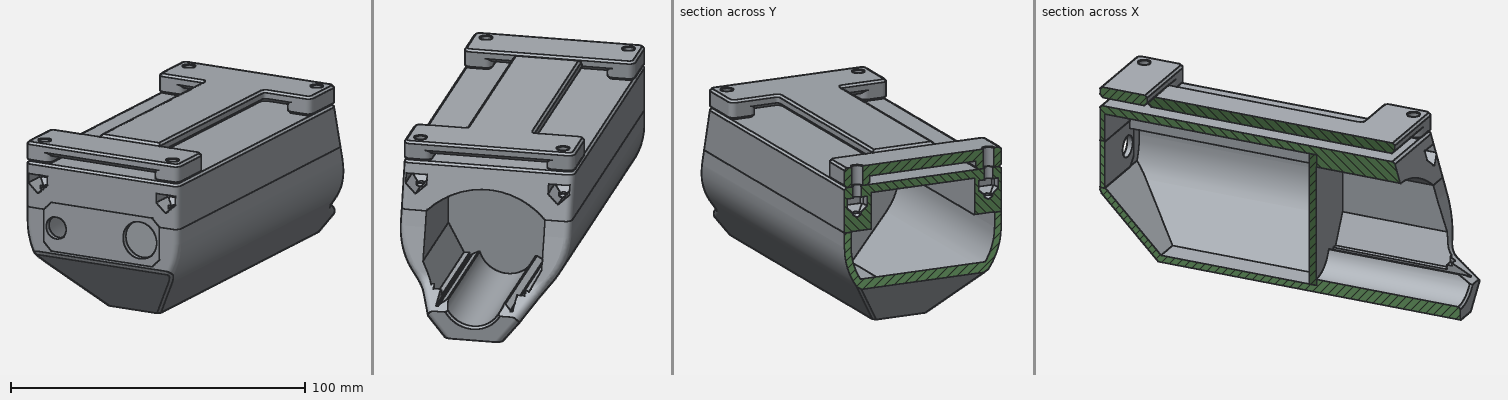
import cadquery as cq
import math

LENGTH = 136.0
WIDTH = 59.5
HEIGHT = 61.1
HALF_WIDTH = WIDTH / 2

CASE_HEIGHT = 54.1
PARTING_Z = 38.1
SIDE_BOTTOM_Z = 32.8
BELLY_RADIUS = 24.6
KEEL_ANGLE = 39.0
EDGE_RADIUS = 2.2
SMALL_CHAMFER = 0.8

FRONT_BEVEL = 22.0
REAR_TOP_Y = 111.1
REAR_KINK_Y = 117.4
REAR_FOOT_Y = 123.1
REAR_FOOT_Z = 15.6
NOSE_TIP_Z = 9.5
REAR_BLEND_RADIUS = 6.1

WALL = 2.7
FRONT_WALL = 2.0
ROOF_Z = 51.0
UPPER_CAVITY_HALF_WIDTH = 19.5
BED_START_Y = 81.6
PARTITION_THICKNESS = 2.7

PANEL_HALF_WIDTH = 22.5
PANEL_BOTTOM_Z = 23.7
PANEL_TOP_Z = 41.0
PANEL_CORNER = 2.9
SOCKET_X = 14.8
SOCKET_Z = 32.4
SOCKET_DIAMETER = 13.0
CABLE_HOLE_X = -17.7
CABLE_HOLE_Z = 32.1
CABLE_HOLE_DIAMETER = 7.8

OPENING_HALF_WIDTH = 20.7
OPENING_FLOOR_HALF_WIDTH = 15.2
BED_Z = 11.4
OPENING_SHOULDER_Z = 21.8
OPENING_TOP_Z = 46.5
OPENING_END_Y = 124.5
LEDGE_HALF_WIDTH = 15.9
LEDGE_END_Y = 126.4
LEDGE_Z = 13.0
CHANNEL_HALF_WIDTH = 13.3
CHANNEL_FLOOR_Z = 10.6
GROOVE_RADIUS = 10.2
GROOVE_Z = 15.1
RIB_HALF_WIDTH = 12.5
RIB_INNER_Z = 12.1
RIB_OUTER_Z = 10.9

PLATE_THICKNESS = 4.1
PLATE_UNDERCUT = 1.2
BAR_DEPTH = 18.0
HEAD_FRONT_Y = 93.2
HEAD_REAR_Y = 111.3
TONGUE_HALF_WIDTH = 11.7
TONGUE_TIP_Y = 18.1
TONGUE_BEVEL = 2.6
TONGUE_CORNER_RADIUS = 1.1
PAD_INNER_X = 20.0
SCREW_INSET = 4.9
CLIP_HOLE_DIAMETER = 4.0
CLIP_HOLE_RIM_DIAMETER = 4.5
PILOT_DIAMETER = 3.0
PILOT_END_Z = 44.0
DRILL_POINT_ANGLE = 118.0

NUT_WIDTH = 7.3
NUT_TOP_Z = 49.9
NUT_BOTTOM_Z = 46.7
NUT_POINT_DEPTH = 3.3
NUT_BACK_CHAMFER = 0.7
NUT_SLOT_REACH = 16.3

SCREW_X = HALF_WIDTH - SCREW_INSET
FRONT_SCREW_Y = SCREW_INSET
REAR_SCREW_Y = HEAD_REAR_Y - SCREW_INSET
MARGIN = 1.4


def box(x_min, x_max, y_min, y_max, z_min, z_max):
    return cq.Workplane("XY").box(
        x_max - x_min, y_max - y_min, z_max - z_min, centered=False
    ).translate((x_min, y_min, z_min))


def across(points, half_width):
    """Closed outline in (Y, Z), extruded in X to both sides of the middle."""
    return cq.Workplane("YZ").polyline(points).close().extrude(half_width, both=True)


def along(outline, y_min, y_max):
    """Closed outline drawn on the XZ plane, extruded from y_min to y_max."""
    return outline.extrude(y_min - y_max).translate((0, y_min, 0))


def cylinder_y(x, z, radius, y_min, y_max):
    return along(cq.Workplane("XZ").center(x, z).circle(radius), y_min, y_max)


def case_section(inset=0.0):
    """Outline across the case: vertical sides, round belly, slanted keel, flat bottom."""
    lean = math.radians(KEEL_ANGLE)
    side_x = HALF_WIDTH - inset
    radius = BELLY_RADIUS - inset
    belly_x = side_x - radius * (1 - math.cos(lean))
    belly_z = SIDE_BOTTOM_Z - radius * math.sin(lean)
    middle_x = side_x - radius * (1 - math.cos(lean / 2))
    middle_z = SIDE_BOTTOM_Z - radius * math.sin(lean / 2)
    keel_x = belly_x - belly_z * math.tan(lean)
    return (
        cq.Workplane("XZ")
        .moveTo(-side_x, CASE_HEIGHT)
        .lineTo(side_x, CASE_HEIGHT)
        .lineTo(side_x, SIDE_BOTTOM_Z)
        .threePointArc((middle_x, middle_z), (belly_x, belly_z))
        .lineTo(keel_x, 0)
        .lineTo(-keel_x, 0)
        .lineTo(-belly_x, belly_z)
        .threePointArc((-middle_x, middle_z), (-side_x, SIDE_BOTTOM_Z))
        .close()
    )


def case_envelope():
    case = along(case_section(), 0, LENGTH)
    case = case.faces("<Y").edges("not #Z").edges("not >Z").edges("not <Z").fillet(EDGE_RADIUS)

    rear = [
        (-MARGIN, -MARGIN),
        (LENGTH, -MARGIN),
        (LENGTH, NOSE_TIP_Z),
        (REAR_FOOT_Y, REAR_FOOT_Z),
        (REAR_KINK_Y, SIDE_BOTTOM_Z),
        (REAR_TOP_Y, CASE_HEIGHT),
        (-MARGIN, CASE_HEIGHT),
    ]
    side_shape = across(rear, WIDTH).edges(
        cq.selectors.NearestToPointSelector((0, REAR_FOOT_Y, REAR_FOOT_Z))
    ).fillet(REAR_BLEND_RADIUS)
    case = case.intersect(side_shape)
    rear_rim = cq.selectors.BoxSelector(
        (-WIDTH, REAR_TOP_Y - MARGIN, MARGIN), (WIDTH, LENGTH + MARGIN, CASE_HEIGHT - MARGIN)
    )
    case = case.edges(rear_rim).edges("not |X").fillet(EDGE_RADIUS)

    front_bevel = [(-MARGIN, FRONT_BEVEL + MARGIN), (-MARGIN, -MARGIN), (FRONT_BEVEL + MARGIN, -MARGIN)]
    case = case.cut(across(front_bevel, WIDTH))
    case = case.edges(
        cq.selectors.NearestToPointSelector((0, 0, FRONT_BEVEL))
    ).chamfer(SMALL_CHAMFER)
    return case.faces(">Z").edges().chamfer(SMALL_CHAMFER)


def front_cavity():
    """Hollow in front of the bed, one wall thickness inside the lower outline."""
    inside = along(case_section(WALL), FRONT_WALL, BED_START_Y)
    inside = inside.intersect(box(-WIDTH, WIDTH, 0, LENGTH, WALL, PARTING_Z))
    inside = inside.union(
        box(-UPPER_CAVITY_HALF_WIDTH, UPPER_CAVITY_HALF_WIDTH, FRONT_WALL, BED_START_Y, PARTING_Z, ROOF_Z)
    )
    bevel_reach = FRONT_BEVEL + WALL * math.sqrt(2)
    bounds = [
        (FRONT_WALL, bevel_reach - FRONT_WALL),
        (bevel_reach - WALL, WALL),
        (BED_START_Y, WALL),
        (BED_START_Y, ROOF_Z),
        (FRONT_WALL, ROOF_Z),
    ]
    return inside.intersect(across(bounds, WIDTH))


def partition_plate():
    """Plate that closes the front cavity where the bed begins."""
    slab = box(-WIDTH, WIDTH, BED_START_Y - PARTITION_THICKNESS, BED_START_Y, 0, HEIGHT)
    return front_cavity().intersect(slab)


def rear_opening():
    opening = (
        cq.Workplane("XZ")
        .moveTo(-OPENING_FLOOR_HALF_WIDTH, BED_Z)
        .lineTo(OPENING_FLOOR_HALF_WIDTH, BED_Z)
        .lineTo(OPENING_HALF_WIDTH, OPENING_SHOULDER_Z)
        .lineTo(OPENING_HALF_WIDTH, PARTING_Z)
        .threePointArc((0, OPENING_TOP_Z), (-OPENING_HALF_WIDTH, PARTING_Z))
        .lineTo(-OPENING_HALF_WIDTH, OPENING_SHOULDER_Z)
        .close()
    )
    return along(opening, BED_START_Y, OPENING_END_Y)


def nose_channel():
    return box(
        -CHANNEL_HALF_WIDTH, CHANNEL_HALF_WIDTH, BED_START_Y, LENGTH, CHANNEL_FLOOR_Z, OPENING_SHOULDER_Z
    )


def opening_ledge():
    """Shallow step where the opening runs out into the nose."""
    return box(-LEDGE_HALF_WIDTH, LEDGE_HALF_WIDTH, BED_START_Y, LEDGE_END_Y, LEDGE_Z, OPENING_SHOULDER_Z)


def channel_ribs():
    """Bed of the groove, its top falling away to both sides."""
    bed = cq.Workplane("XZ").polyline([
        (-RIB_HALF_WIDTH, CHANNEL_FLOOR_Z - MARGIN),
        (RIB_HALF_WIDTH, CHANNEL_FLOOR_Z - MARGIN),
        (RIB_HALF_WIDTH, RIB_OUTER_Z),
        (GROOVE_RADIUS, RIB_INNER_Z),
        (-GROOVE_RADIUS, RIB_INNER_Z),
        (-RIB_HALF_WIDTH, RIB_OUTER_Z),
    ]).close()
    return along(bed, BED_START_Y, LENGTH)


def barrel_groove():
    groove = cylinder_y(0, GROOVE_Z, GROOVE_RADIUS, BED_START_Y, LENGTH)
    mouth = cq.Solid.makeCone(
        GROOVE_RADIUS + SMALL_CHAMFER,
        GROOVE_RADIUS,
        SMALL_CHAMFER,
        pnt=cq.Vector(0, LENGTH, GROOVE_Z),
        dir=cq.Vector(0, -1, 0),
    )
    return groove.union(cq.Workplane(mouth))


def pilot_hole(x, y):
    radius = PILOT_DIAMETER / 2
    point = radius / math.tan(math.radians(DRILL_POINT_ANGLE / 2))
    profile = [
        (0, PILOT_END_Z - point),
        (radius, PILOT_END_Z),
        (radius, CASE_HEIGHT),
        (0, CASE_HEIGHT),
    ]
    hole = cq.Workplane("XZ").polyline(profile).close().revolve(360, (0, 0), (0, 1))
    return hole.translate((x, y, 0))


def nut_pocket():
    """Slot along Y, open towards -Y, with a pointed floor; the screw axis is at x = y = 0."""
    half = NUT_WIDTH / 2
    tip_z = NUT_BOTTOM_Z - NUT_POINT_DEPTH
    slot = along(
        cq.Workplane("XZ").polyline([
            (-half, NUT_TOP_Z),
            (-half, NUT_BOTTOM_Z),
            (0, tip_z),
            (half, NUT_BOTTOM_Z),
            (half, NUT_TOP_Z),
        ]).close(),
        -NUT_SLOT_REACH,
        half,
    )
    side_outline = [
        (-NUT_SLOT_REACH, NUT_TOP_Z),
        (-NUT_SLOT_REACH, tip_z),
        (0, tip_z),
        (half, NUT_BOTTOM_Z),
        (half, NUT_TOP_Z),
    ]
    slot = slot.edges("|Z and >Y").chamfer(NUT_BACK_CHAMFER)
    return slot.intersect(across(side_outline, half))


def cut_screw_places(case):
    for x in (-SCREW_X, SCREW_X):
        case = case.cut(pilot_hole(x, FRONT_SCREW_Y)).cut(pilot_hole(x, REAR_SCREW_Y))
        case = case.cut(nut_pocket().translate((x, FRONT_SCREW_Y, 0)))
        case = case.cut(nut_pocket().rotate((0, 0, 0), (0, 0, 1), 180).translate((x, REAR_SCREW_Y, 0)))
    return case


def panel_blank():
    blank = box(-PANEL_HALF_WIDTH, PANEL_HALF_WIDTH, 0, FRONT_WALL, PANEL_BOTTOM_Z, PANEL_TOP_Z)
    return blank.edges("|Y").chamfer(PANEL_CORNER)


def front_panel():
    panel = panel_blank()
    panel = panel.cut(cylinder_y(SOCKET_X, SOCKET_Z, SOCKET_DIAMETER / 2, 0, FRONT_WALL))
    return panel.cut(cylinder_y(CABLE_HOLE_X, CABLE_HOLE_Z, CABLE_HOLE_DIAMETER / 2, 0, FRONT_WALL))


def whole_case():
    case = case_envelope().cut(front_cavity()).cut(rear_opening()).cut(nose_channel()).cut(opening_ledge())
    case = case.union(channel_ribs().intersect(case_envelope())).cut(barrel_groove())
    return cut_screw_places(case).cut(panel_blank())


def half_of_case(case, z_min, z_max):
    return case.intersect(box(-WIDTH, WIDTH, -MARGIN, LENGTH + MARGIN, z_min, z_max))


def clip_pads(y_min, y_max):
    """The two feet of a clip part."""
    pads = cq.Workplane("XY")
    for side in (-1, 1):
        inner, outer = sorted((side * PAD_INNER_X, side * HALF_WIDTH))
        pad = box(inner, outer, y_min, y_max, CASE_HEIGHT, HEIGHT - SMALL_CHAMFER)
        pads = pads.add(pad.edges("|Z").fillet(EDGE_RADIUS).faces("<Z").chamfer(SMALL_CHAMFER))
    return pads


def clip_holes(y):
    holes = cq.Workplane("XY").pushPoints([(-SCREW_X, y), (SCREW_X, y)])
    holes = holes.circle(CLIP_HOLE_DIAMETER / 2).extrude(HEIGHT)
    rim = (CLIP_HOLE_RIM_DIAMETER - CLIP_HOLE_DIAMETER) / 2
    for x in (-SCREW_X, SCREW_X):
        sink = cq.Solid.makeCone(
            CLIP_HOLE_RIM_DIAMETER / 2,
            CLIP_HOLE_DIAMETER / 2,
            rim,
            pnt=cq.Vector(x, y, HEIGHT),
            dir=cq.Vector(0, 0, -1),
        )
        holes = holes.union(cq.Workplane(sink))
    return holes


def plate(y_min, y_max):
    blank = box(-HALF_WIDTH, HALF_WIDTH, y_min, y_max, HEIGHT - PLATE_THICKNESS, HEIGHT)
    return blank.edges("|Z").fillet(EDGE_RADIUS)


def finish_clip(top, y_min, y_max, screw_y):
    top = top.faces("<Z").chamfer(PLATE_UNDERCUT)
    for pad in clip_pads(y_min, y_max).vals():
        top = top.union(cq.Workplane(pad))
    return top.cut(clip_holes(screw_y))


def end_bar():
    bar = plate(0, BAR_DEPTH).faces(">Z").chamfer(SMALL_CHAMFER)
    return finish_clip(bar, 0, BAR_DEPTH, FRONT_SCREW_Y)


def tongue_clip():
    top = plate(HEAD_FRONT_Y, HEAD_REAR_Y).union(
        box(-TONGUE_HALF_WIDTH, TONGUE_HALF_WIDTH, TONGUE_TIP_Y, HEAD_REAR_Y - EDGE_RADIUS,
            HEIGHT - PLATE_THICKNESS, HEIGHT)
    )
    for side in (-1, 1):
        corner = cq.selectors.NearestToPointSelector(
            (side * TONGUE_HALF_WIDTH, HEAD_FRONT_Y, HEIGHT - PLATE_THICKNESS / 2)
        )
        top = top.edges(corner).fillet(TONGUE_CORNER_RADIUS)
    top = top.faces(">Z").chamfer(SMALL_CHAMFER)
    clip = finish_clip(top, HEAD_FRONT_Y, HEAD_REAR_Y, REAR_SCREW_Y)
    tip_bevel = [
        (TONGUE_TIP_Y - MARGIN, HEIGHT - TONGUE_BEVEL - MARGIN),
        (TONGUE_TIP_Y + TONGUE_BEVEL, HEIGHT),
        (TONGUE_TIP_Y - MARGIN, HEIGHT),
    ]
    return clip.cut(across(tip_bevel, WIDTH))


case = whole_case()
lower_housing = half_of_case(case, -MARGIN, PARTING_Z)
upper_housing = half_of_case(case, PARTING_Z, HEIGHT)
partition = partition_plate()
panel = front_panel()
bar = end_bar()
clip = tongue_clip()

result = cq.Compound.makeCompound([
    lower_housing.val(),
    upper_housing.val(),
    partition.val(),
    panel.val(),
    bar.val(),
    clip.val(),
])